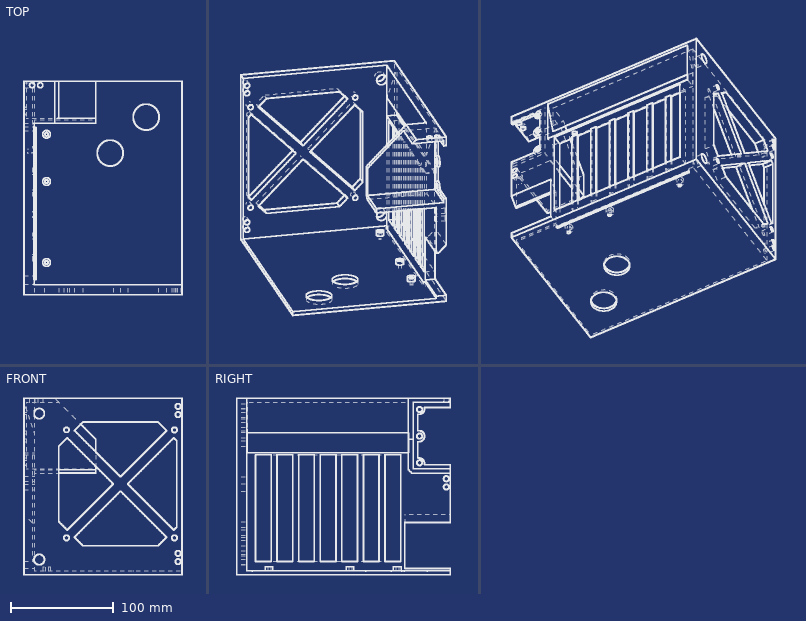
import cadquery as cq

length_x = 154.0
length_y = 208.0
height = 172.0

plate_thickness = 10.0
floor_thickness = 4.0

fan_center_x = 94.0
fan_center_z = 88.6
fan_opening = 120.0
fan_corner_cut = 23.4
fan_opening_right = 148.5
fan_hole_spacing = 105.0
fan_hole_diameter = 5.0
brace_width = 10.0
corner_hole_diameter = 10.0
corner_hole_inset = 15.0

joint_hole_diameter = 5.0
joint_hole_pitch = 8.0
joint_hole_inset = 4.0
front_pair_inset = 13.0
front_pair_top_inset = 8.0
side_pair_z = 85.6
top_pair_x = 8.0

grille_y = (18.5, 159.5)
grille_z = (13.3, 116.8)
slat_count = 6
slat_width = 6.0
slat_depth = 2.0
window_y = (10.2, 167.0)
window_z = (119.0, 168.0)
window_inner_top = 138.3
sill_hole_diameter = 5.0
sill_hole_x = 5.5
sill_hole_y = 140.0
cutout_front_y = 163.7
cutout_z = (6.3, 59.0)
cutout_roof_drop = 8.0

box_y = 167.0
box_right_x = 70.0
box_front_thickness = 5.0
box_bottom_z = 99.0
box_bottom_chamfer = 3.5
shelf_top_z = 103.5
box_roof_thickness = 4.0
box_slope_start_x = 30.0
box_side_thickness = 2.5

access_front_y = 176.3
access_z = (107.3, 162.7)
tab_y = 177.4
tab_pitch = 26.6
tab_diameter = 11.0
tab_hole_y = 178.0
tab_hole_pitch = 25.9
tab_hole_diameter = 5.0

floor_slot_width = 1.8
floor_slot_y = (15.0, 163.0)
cable_hole_diameter = 25.0
cable_holes = [(84.0, 138.0), (119.0, 173.0)]
standoff_x = 22.1
standoff_ys = (31.6, 110.4, 156.3)
standoff_diameter = 7.5
standoff_hole_diameter = 3.0
standoff_height = 4.0


def block(x, y, z):
    """Box between the (low, high) limits given along each axis."""
    size = [high - low for low, high in (x, y, z)]
    return cq.Workplane("XY").box(*size, centered=False).translate((x[0], y[0], z[0]))


def rod_x(diameter, x, y, z):
    """Cylinder along X between the two limits x."""
    start = cq.Vector(x[0], y, z)
    return cq.Workplane(cq.Solid.makeCylinder(diameter / 2, x[1] - x[0], start, cq.Vector(1, 0, 0)))


def rod_y(diameter, x, y, z):
    """Cylinder along Y between the two limits y."""
    start = cq.Vector(x, y[0], z)
    return cq.Workplane(cq.Solid.makeCylinder(diameter / 2, y[1] - y[0], start, cq.Vector(0, 1, 0)))


def rod_z(diameter, x, y, z):
    """Cylinder along Z between the two limits z."""
    start = cq.Vector(x, y, z[0])
    return cq.Workplane(cq.Solid.makeCylinder(diameter / 2, z[1] - z[0], start, cq.Vector(0, 0, 1)))


def xz_prism(points, y):
    """Prism with an XZ outline between the two limits y."""
    return cq.Workplane("XZ", origin=(0, y[0], 0)).polyline(points).close().extrude(y[0] - y[1])


def fan_cutter():
    """Square with cut corners, split into four by the crossing braces."""
    depth = (0, plate_thickness)
    half = fan_opening / 2
    cutter = block(
        (fan_center_x - half, fan_center_x + half), depth, (fan_center_z - half, fan_center_z + half)
    )
    cutter = cutter.edges("|Y").chamfer(fan_corner_cut)
    cutter = cutter.intersect(block((0, fan_opening_right), depth, (0, height)))
    brace_length = 2 * fan_opening
    brace_depth = 2 * plate_thickness
    brace = cq.Workplane("XY").box(brace_length, brace_depth, brace_width)
    for angle in (45, -45):
        turned = brace.rotate((0, 0, 0), (0, 1, 0), angle)
        cutter = cutter.cut(turned.translate((fan_center_x, 0, fan_center_z)))
    return cutter


def front_plate():
    depth = (0, plate_thickness)
    plate = block((0, length_x), depth, (0, height)).cut(fan_cutter())
    for side_x in (-1, 1):
        for side_z in (-1, 1):
            x = fan_center_x + side_x * fan_hole_spacing / 2
            z = fan_center_z + side_z * fan_hole_spacing / 2
            plate = plate.cut(rod_y(fan_hole_diameter, x, depth, z))
    for z in (corner_hole_inset, height - corner_hole_inset):
        plate = plate.cut(rod_y(corner_hole_diameter, corner_hole_inset, depth, z))
    for first_z in (front_pair_inset, height - front_pair_top_inset - joint_hole_pitch):
        for z in (first_z, first_z + joint_hole_pitch):
            plate = plate.cut(rod_y(joint_hole_diameter, length_x - joint_hole_inset, depth, z))
    return plate


def grille_cutter():
    """Grille opening without its slats, which sit flush with the inner face."""
    cutter = block((0, plate_thickness), grille_y, grille_z)
    gap = (grille_y[1] - grille_y[0] - slat_count * slat_width) / (slat_count + 1)
    for index in range(slat_count):
        start = grille_y[0] + gap + index * (gap + slat_width)
        slat = block((plate_thickness - slat_depth, plate_thickness), (start, start + slat_width), grille_z)
        cutter = cutter.cut(slat)
    return cutter


def window_cutter():
    """Upper window with a roof that slopes down toward the inner face."""
    outline = [
        (0, window_z[0]),
        (plate_thickness, window_z[0]),
        (plate_thickness, window_inner_top),
        (0, window_z[1]),
    ]
    return xz_prism(outline, window_y)


def cutout_cutter():
    """Rear cutout below the box, with a sloped underside above it."""
    roof_inner_z = cutout_z[1] - cutout_roof_drop
    outline = [
        (0, cutout_z[0]),
        (plate_thickness, cutout_z[0]),
        (plate_thickness, roof_inner_z),
        (cutout_roof_drop, roof_inner_z),
        (0, cutout_z[1]),
    ]
    return xz_prism(outline, (cutout_front_y, length_y))


def side_wall():
    wall = block((0, plate_thickness), (0, length_y), (0, height))
    wall = wall.cut(grille_cutter()).cut(window_cutter()).cut(cutout_cutter())
    sill = (grille_z[1], window_z[0])
    wall = wall.cut(rod_z(sill_hole_diameter, sill_hole_x, sill_hole_y, sill))
    for z in (side_pair_z, side_pair_z + joint_hole_pitch):
        wall = wall.cut(rod_x(joint_hole_diameter, (0, plate_thickness), length_y - joint_hole_inset, z))
    return wall


def box_body():
    """Solid envelope of the rear box, with its 45 degree roof corner."""
    slope_end_z = height - (box_right_x - box_slope_start_x)
    outline = [
        (0, box_bottom_z),
        (box_right_x, box_bottom_z),
        (box_right_x, slope_end_z),
        (box_slope_start_x, height),
        (0, height),
    ]
    body = xz_prism(outline, (box_y, length_y))
    return body.edges("|X").edges("<Y").edges("<Z").chamfer(box_bottom_chamfer)


def box_cavity():
    """Inside of the box, open toward +X and +Y."""
    return block(
        (box_side_thickness, box_right_x),
        (box_y + box_front_thickness, length_y),
        (shelf_top_z, height - box_roof_thickness),
    )


def add_access_window(body):
    """Opens the box side and leaves three drilled tabs along its front edge."""
    side = (0, box_side_thickness)
    body = body.cut(block(side, (access_front_y, length_y), access_z))
    center_z = (access_z[0] + access_z[1]) / 2
    for step in (-1, 0, 1):
        body = body.union(rod_x(tab_diameter, side, tab_y, center_z + step * tab_pitch))
    for step in (-1, 0, 1):
        body = body.cut(rod_x(tab_hole_diameter, side, tab_hole_y, center_z + step * tab_hole_pitch))
    return body


def add_box(body):
    body = body.union(box_body()).cut(box_cavity())
    body = add_access_window(body)
    roof = (height - box_roof_thickness, height)
    for x in (top_pair_x, top_pair_x + joint_hole_pitch):
        body = body.cut(rod_z(joint_hole_diameter, x, length_y - joint_hole_inset, roof))
    return body


def floor():
    depth = (0, floor_thickness)
    plate = block((plate_thickness, length_x), (plate_thickness, length_y), depth)
    slot_x = (plate_thickness, plate_thickness + floor_slot_width)
    plate = plate.cut(block(slot_x, floor_slot_y, depth))
    for x, y in cable_holes:
        plate = plate.cut(rod_z(cable_hole_diameter, x, y, depth))
    standoff_top = floor_thickness + standoff_height
    for y in standoff_ys:
        plate = plate.union(rod_z(standoff_diameter, standoff_x, y, (0, standoff_top)))
        plate = plate.cut(rod_z(standoff_hole_diameter, standoff_x, y, (0, standoff_top)))
    return plate


result = add_box(side_wall()).union(front_plate()).union(floor())